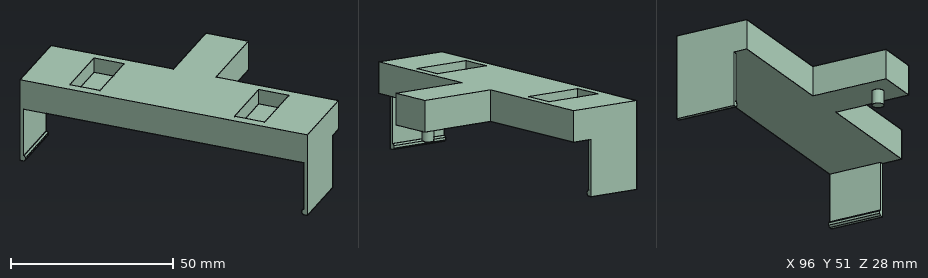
import cadquery as cq
import math

length = 96.0
total_depth = 51.0
total_height = 28.0

body_height = 10.0
bar_depth = 25.0
stem_width = 14.2

pocket_width = 10.1
pocket_depth_y = 19.4
pocket_front_gap = 2.9
pocket_end_gap = 15.5
pocket_sink = 5.0

clip_thickness = 1.2
left_clip_width = 18.1
right_clip_width = 20.4
bead_size = 1.9
bead_chamfer = bead_size / (2 + math.sqrt(2))
clip_drop = total_height - body_height

peg_diameter = 3.7
peg_length = 4.7
peg_y = 44.1


def block(size_x, size_y, size_z, corner):
    """Box with its minimum corner at the given point."""
    return cq.Workplane("XY").box(size_x, size_y, size_z, centered=False).translate(corner)


def clip(width):
    """Left-hand clip: a thin plate with an octagonal bead along its inner lower edge."""
    plate = block(clip_thickness, width, clip_drop, (-length / 2, 0, -clip_drop))
    bead = block(bead_size, width, bead_size, (-length / 2, 0, -clip_drop))
    bead = bead.edges("|Y").chamfer(bead_chamfer)
    return plate.union(bead)


bar = block(length, bar_depth, body_height, (-length / 2, 0, 0))
stem = block(stem_width, total_depth, body_height, (-stem_width / 2, 0, 0))
result = bar.union(stem)

pocket_center_x = length / 2 - pocket_end_gap - pocket_width / 2
for center_x in (-pocket_center_x, pocket_center_x):
    pocket_corner = (center_x - pocket_width / 2, pocket_front_gap, body_height - pocket_sink)
    result = result.cut(block(pocket_width, pocket_depth_y, pocket_sink, pocket_corner))

result = result.union(clip(left_clip_width))
result = result.union(clip(right_clip_width).mirror("YZ"))

peg = cq.Workplane("XY").center(0, peg_y).circle(peg_diameter / 2).extrude(-peg_length)
result = result.union(peg)